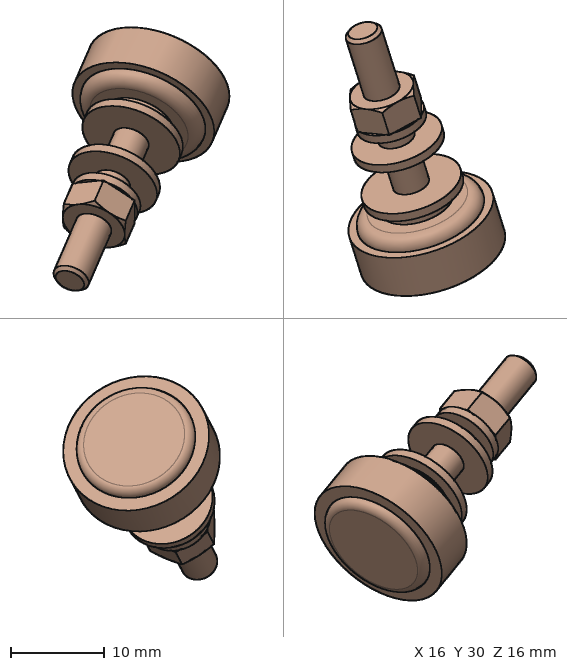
import cadquery as cq
import math

total_length = 30.0

rim_diameter = 16.0
rim_length = 5.0
back_diameter = 13.0
back_length = 1.0
back_rounding = 0.95
front_diameter = 14.0
front_length = 1.5
front_rounding = 1.47
neck_diameter = 8.0
neck_length = 1.5
collar_diameter = 11.0
collar_length = 1.0

rod_diameter = 4.0
rod_chamfer = 0.4

washer_thickness = 1.0
plain_washer_diameter = 10.0
plain_washer_position = 14.0
lock_washer_diameter = 7.65
nut_sides = 6
nut_across_flats = 7.0
nut_height = 3.2
nut_position = 7.8
nut_chamfer_angle = 30.0

rod_tip = -total_length / 2
lock_washer_position = nut_position + nut_height


def disc(diameter, start, length):
    """Cylinder about the Y axis, from Y = start towards +Y."""
    return cq.Workplane("XZ", origin=(0, start, 0)).circle(diameter / 2).extrude(-length)


def make_stud():
    """Knob and rod in one piece, stacked from the back end towards the tip."""
    back_start = total_length / 2 - back_length
    rim_start = back_start - rim_length
    front_start = rim_start - front_length
    neck_start = front_start - neck_length
    collar_start = neck_start - collar_length

    back = disc(back_diameter, back_start, back_length).faces(">Y").edges().fillet(back_rounding)
    rim = disc(rim_diameter, rim_start, rim_length)
    front = disc(front_diameter, front_start, front_length).faces("<Y").edges().fillet(front_rounding)
    neck = disc(neck_diameter, neck_start, neck_length)
    collar = disc(collar_diameter, collar_start, collar_length)
    rod = disc(rod_diameter, rod_tip, collar_start - rod_tip).faces("<Y").edges().chamfer(rod_chamfer)
    return rim.union(back).union(front).union(neck).union(collar).union(rod)


def make_washer(diameter, position):
    """Flat ring that fits closely around the rod."""
    start = rod_tip + position
    ring = disc(diameter, start, washer_thickness)
    return ring.cut(disc(rod_diameter, start, washer_thickness))


def make_nut():
    """Hexagon nut with two flats facing +X and -X, and its tip-side corners chamfered."""
    start = rod_tip + nut_position
    half_side_angle = 180 / nut_sides
    across_corners = nut_across_flats / math.cos(math.radians(half_side_angle))
    hexagon = (
        cq.Workplane("XZ", origin=(0, start, 0))
        .transformed(rotate=(0, 0, half_side_angle))
        .polygon(nut_sides, across_corners)
        .extrude(-nut_height)
    )
    corner_inset = (across_corners - nut_across_flats) / 2
    corner_drop = corner_inset * math.tan(math.radians(nut_chamfer_angle))
    envelope = (
        disc(across_corners, start, nut_height)
        .faces("<Y").edges().chamfer(corner_drop, corner_inset)
    )
    return hexagon.intersect(envelope).cut(disc(rod_diameter, start, nut_height))


stud = make_stud()
plain_washer = make_washer(plain_washer_diameter, plain_washer_position)
lock_washer = make_washer(lock_washer_diameter, lock_washer_position)
nut = make_nut()

result = cq.Compound.makeCompound([stud.val(), plain_washer.val(), lock_washer.val(), nut.val()])